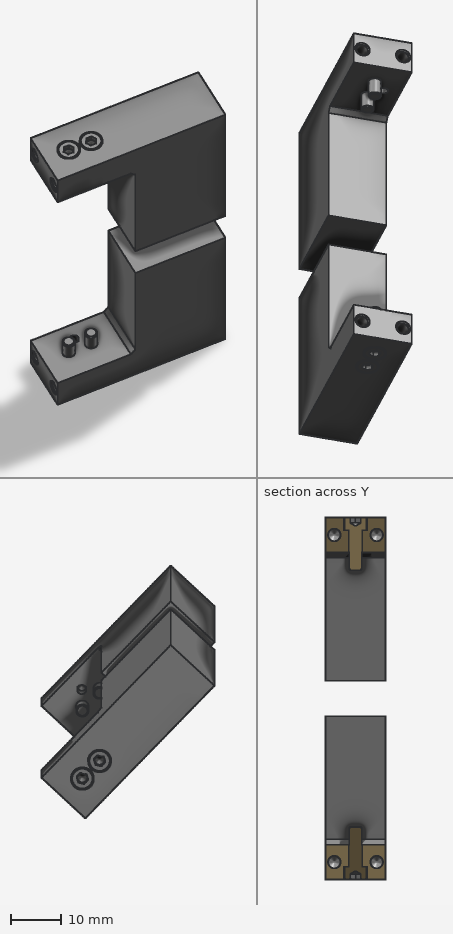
import cadquery as cq
import math

total_height = 72.0
jaw_width = 12.0
jaw_depth = 37.3
jaw_gap = 7.0
half_height = total_height / 2
post_depth = 20.0
arm_thickness = 7.0
corner_chamfer = 1.0

end_hole_spacing = 8.4
end_hole_diameter = 2.45
end_hole_mouth_diameter = 3.0
end_hole_depth = 6.0

screws_per_jaw = 2
screw_spacing = 5.0
first_screw_from_end = 5.5
shank_diameter = 2.5
shank_hole_diameter = 2.6
head_diameter = 4.5
head_height = 2.5
head_chamfer = 0.2
counterbore_diameter = 4.6
screw_protrusion = 3.5
tip_chamfer = 0.25
socket_across_flats = 2.0
socket_depth = 1.1

locating_hole_diameter = 1.9
locating_hole_offset = 2.5
locating_hole_depth = 3.0

drill_tip_angle = 118.0

arm_end_y = -jaw_depth / 2
post_back_y = jaw_depth / 2
post_front_y = post_back_y - post_depth
jaw_bottom_z = -half_height
arm_inner_z = jaw_bottom_z + arm_thickness
post_end_z = -jaw_gap / 2
screw_ys = [arm_end_y + first_screw_from_end + i * screw_spacing for i in range(screws_per_jaw)]
locating_hole_y = sum(screw_ys) / len(screw_ys)


def drilled_hole(diameter, depth, start, direction):
    """Blind hole with a full-diameter depth and a conical drill tip."""
    radius = diameter / 2
    tip_length = radius / math.tan(math.radians(drill_tip_angle / 2))
    bore = cq.Solid.makeCylinder(radius, depth, start, direction)
    tip = cq.Solid.makeCone(radius, 0, tip_length, start + direction * depth, direction)
    return cq.Workplane(bore).union(cq.Workplane(tip))


def end_hole(x):
    """Drilled hole in the arm end, with a 45 degree countersunk mouth."""
    start = cq.Vector(x, arm_end_y, jaw_bottom_z + arm_thickness / 2)
    inward = cq.Vector(0, 1, 0)
    mouth_radius = end_hole_mouth_diameter / 2
    bore_radius = end_hole_diameter / 2
    mouth = cq.Solid.makeCone(mouth_radius, bore_radius, mouth_radius - bore_radius, start, inward)
    return drilled_hole(end_hole_diameter, end_hole_depth, start, inward).union(cq.Workplane(mouth))


def screw_hole(y):
    """Through hole with a counterbore that opens on the outer face of the arm."""
    outer_face = cq.Workplane("XY", origin=(0, y, jaw_bottom_z))
    shank_hole = outer_face.circle(shank_hole_diameter / 2).extrude(arm_thickness)
    counterbore = outer_face.circle(counterbore_diameter / 2).extrude(head_height)
    return shank_hole.union(counterbore)


def make_jaw():
    """Lower jaw: an arm, a post at its back and a sloped inner corner."""
    jaw = (
        cq.Workplane("YZ", origin=(-jaw_width / 2, 0, 0))
        .moveTo(arm_end_y, jaw_bottom_z)
        .lineTo(post_back_y, jaw_bottom_z)
        .lineTo(post_back_y, post_end_z)
        .lineTo(post_front_y, post_end_z)
        .lineTo(post_front_y, arm_inner_z + corner_chamfer)
        .lineTo(post_front_y - corner_chamfer, arm_inner_z)
        .lineTo(arm_end_y, arm_inner_z)
        .close()
        .extrude(jaw_width)
    )
    for x in (-end_hole_spacing / 2, end_hole_spacing / 2):
        jaw = jaw.cut(end_hole(x))
    for y in screw_ys:
        jaw = jaw.cut(screw_hole(y))
    locating_start = cq.Vector(-locating_hole_offset, locating_hole_y, arm_inner_z)
    downward = cq.Vector(0, 0, -1)
    return jaw.cut(drilled_hole(locating_hole_diameter, locating_hole_depth, locating_start, downward))


def make_screw(y):
    """Cap screw of the lower jaw: flush head and a hexagon socket with a conical bottom."""
    outer_face = cq.Workplane("XY", origin=(0, y, jaw_bottom_z))
    shank = (
        outer_face.circle(shank_diameter / 2)
        .extrude(arm_thickness + screw_protrusion)
        .faces(">Z")
        .chamfer(tip_chamfer)
    )
    head = outer_face.circle(head_diameter / 2).extrude(head_height).faces("<Z").chamfer(head_chamfer)
    socket_start = cq.Vector(0, y, jaw_bottom_z)
    hexagon = outer_face.polygon(6, socket_across_flats, circumscribed=True).extrude(socket_depth)
    socket = drilled_hole(socket_across_flats, socket_depth, socket_start, cq.Vector(0, 0, 1))
    return shank.union(head).cut(socket.union(hexagon))


def turned_over(body):
    """Copy of a lower body turned half a revolution about the Y axis."""
    return body.rotate((0, 0, 0), (0, 1, 0), 180)


lower_jaw = make_jaw()
upper_jaw = turned_over(lower_jaw)

screws = []
for screw_y in screw_ys:
    lower_screw = make_screw(screw_y)
    screws.append(lower_screw.val())
    screws.append(turned_over(lower_screw).val())

result = cq.Compound.makeCompound([lower_jaw.val(), upper_jaw.val(), *screws])